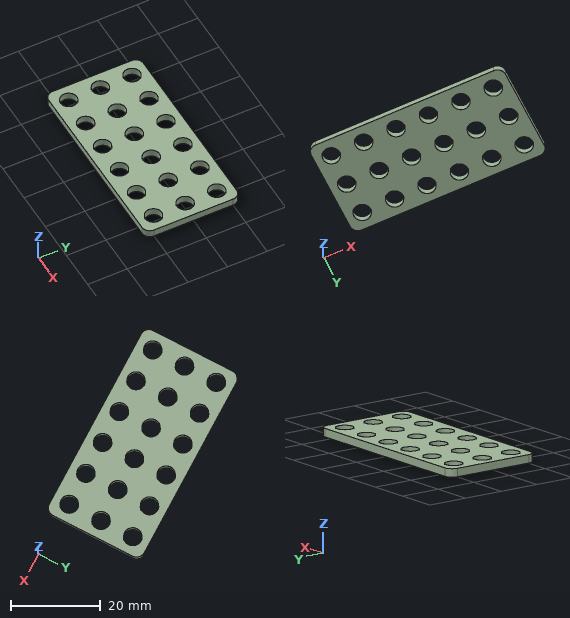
import cadquery as cq

length = 48.0
columns = 6
rows = 3
pitch = length / columns
width = rows * pitch
thickness = pitch / 4
corner_radius = pitch / 4
hole_diameter = 4.1

plate = (
    cq.Workplane("XY")
    .box(length, width, thickness, centered=(True, True, False))
    .edges("|Z")
    .fillet(corner_radius)
)

result = (
    plate.faces(">Z")
    .workplane()
    .rarray(pitch, pitch, columns, rows)
    .hole(hole_diameter)
)